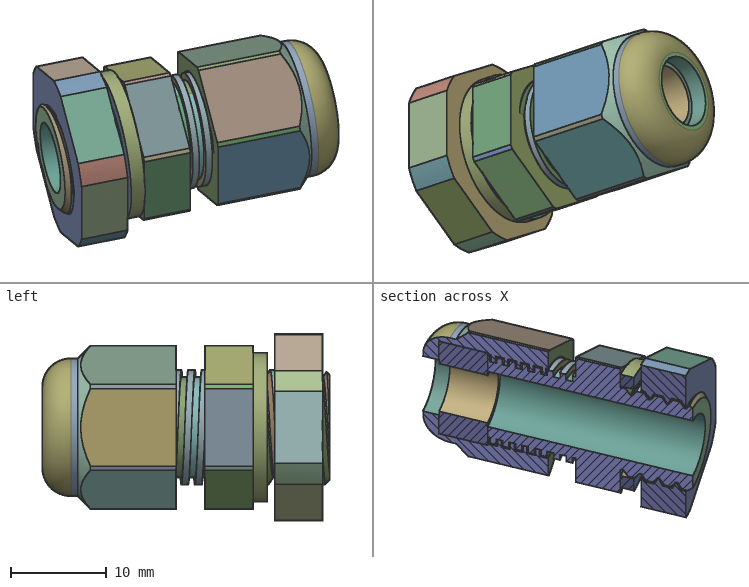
import cadquery as cq
import math


total_length = 30.0
locknut_start = 0.75
locknut_length = 5.0
washer_start = 6.5
washer_length = 1.5
collar_length = 5.0
cap_gap = 3.0
collar_start = washer_start + washer_length
collar_end = collar_start + collar_length
cap_start = collar_end + cap_gap

spanner_flats = 15.0
spanner_corner_radius = 8.52
locknut_flats = 18.0
locknut_corner_radius = 9.75

crest_radius = 6.0
root_radius = 5.25
ridge_sink = 0.05
neck_pitch = 1.4
neck_ridge_width = neck_pitch / 2
neck_ridge_phase = 14.07
tail_pitch = 2.0
tail_crest_width = 0.8
tail_root_land = 0.1
tail_ridge_phase = 6.33
tail_chamfer = 0.55
envelope_radius = 6.6

thread_play = 0.12
socket_radius = crest_radius + thread_play
passage_radius = 3.75
seal_radius = 6.3
seal_bore_radius = 3.25
washer_radius = 7.8

dome_radius = 7.2
dome_fillet = 3.0
shoulder_end = 26.28
cap_wall = 1.8
seal_length = 5.4
seal_end = total_length - cap_wall
neck_end = seal_end - seal_length


def cylinder(radius, start, end):
    """A cylinder along Y between two stations."""
    return cq.Workplane("ZX", origin=(0, start, 0)).circle(radius).extrude(end - start)


def rounded_hexagon(flats, corner_radius, start, length):
    """A hexagonal prism along Y whose corners are cut back by a cylinder."""
    prism = cq.Workplane("ZX", origin=(0, start, 0)).polygon(6, flats, circumscribed=True).extrude(length)
    prism = prism.rotate((0, 0, 0), (0, 1, 0), 90)
    return prism.intersect(cylinder(corner_radius, start, start + length))


def threaded_rod(envelope, start, end, pitch, phase, ridge_outline, left_handed):
    """A root cylinder with a helical ridge trimmed to the envelope.

    The ridge outline lists (radius, axial offset from the ridge centre) points.
    """
    first = phase - math.ceil((phase - start) / pitch + 1) * pitch
    turns = math.ceil((end - first) / pitch + 1)
    helix = cq.Wire.makeHelix(pitch, turns * pitch, root_radius, lefthand=left_handed)
    helix = helix.rotate(cq.Vector(0, 0, 0), cq.Vector(1, 0, 0), -90)
    helix = helix.translate(cq.Vector(0, first, 0))
    outline = [(radius, first + offset) for radius, offset in ridge_outline]
    ridge = cq.Workplane("XY").polyline(outline).close().sweep(cq.Workplane(obj=helix), isFrenet=True)
    return cylinder(root_radius, start, end).union(ridge.intersect(envelope))


def ridge_outline(crest_width, base_width, play):
    """Ridge section from just inside the root to the crest; play enlarges its crest all round."""
    base_radius = root_radius - ridge_sink
    half_crest = crest_width / 2 + play
    return [
        (base_radius, -base_width / 2),
        (crest_radius + play, -half_crest),
        (crest_radius + play, half_crest),
        (base_radius, base_width / 2),
    ]


def neck_rod(end, play):
    """Left-handed square thread from the collar to the given end."""
    outline = ridge_outline(neck_ridge_width, neck_ridge_width + 2 * play, play)
    envelope = cylinder(envelope_radius, collar_end, end)
    return threaded_rod(envelope, collar_end, end, neck_pitch, neck_ridge_phase, outline, left_handed=True)


def tail_rod(envelope, play):
    """Right-handed tapered thread from the tail end to the collar."""
    outline = ridge_outline(tail_crest_width, tail_pitch - tail_root_land, play)
    return threaded_rod(envelope, 0, collar_start, tail_pitch, tail_ridge_phase, outline, left_handed=False)


def make_gland_body():
    """Hexagonal collar with a threaded neck and tail, bored right through."""
    collar = rounded_hexagon(spanner_flats, spanner_corner_radius, collar_start, collar_length)
    tail_envelope = cylinder(envelope_radius, 0, collar_start)
    tail_envelope = tail_envelope.faces("<Y").chamfer(tail_chamfer + envelope_radius - crest_radius)
    body = collar.union(neck_rod(neck_end, play=0)).union(tail_rod(tail_envelope, play=0))
    return body.cut(cylinder(passage_radius, 0, neck_end))


def make_locknut():
    """Hexagonal nut with an internal thread that matches the tail."""
    nut = rounded_hexagon(locknut_flats, locknut_corner_radius, locknut_start, locknut_length)
    internal_thread = tail_rod(cylinder(envelope_radius, 0, collar_start), thread_play)
    return nut.cut(internal_thread)


def make_washer():
    """Flat sealing washer against the collar."""
    ring = cylinder(washer_radius, washer_start, collar_start)
    return ring.cut(cylinder(socket_radius, washer_start, collar_start))


def make_cap():
    """Hexagonal cap with a 45 degree conical shoulder, a dome, an internal thread and a seal cavity."""
    hexagon = rounded_hexagon(spanner_flats, spanner_corner_radius, cap_start, shoulder_end - cap_start)
    shoulder_drop = spanner_corner_radius - dome_radius
    envelope = cylinder(spanner_corner_radius, cap_start, shoulder_end).faces(">Y").chamfer(shoulder_drop)
    dome = cylinder(dome_radius, shoulder_end, total_length).faces(">Y").edges().fillet(dome_fillet)
    cavity = cylinder(seal_radius, neck_end, seal_end)
    opening = cylinder(passage_radius, seal_end, total_length)
    blank = hexagon.intersect(envelope).union(dome)
    internal_thread = neck_rod(neck_end + neck_pitch / 2, thread_play)
    return blank.cut(cavity).cut(opening).cut(internal_thread)


def make_seal():
    """Ring between the end of the neck and the cap's end wall; it grips the cable."""
    ring = cylinder(seal_radius, neck_end, seal_end)
    return ring.cut(cylinder(seal_bore_radius, neck_end, seal_end))


gland_body = make_gland_body()
locknut = make_locknut()
washer = make_washer()
cap = make_cap()
seal = make_seal()

result = cq.Compound.makeCompound(
    [gland_body.val(), locknut.val(), washer.val(), cap.val(), seal.val()]
)